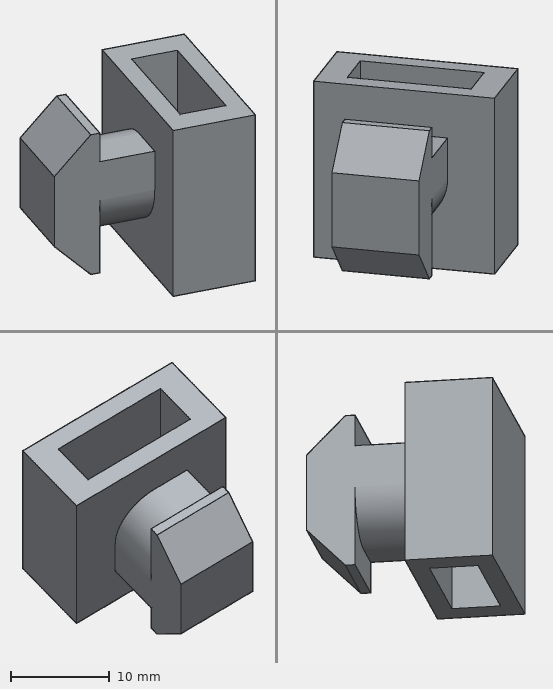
import cadquery as cq

sleeve_size = 19.0
sleeve_depth = 9.0
window_width = 13.0
window_depth = 5.0

latch_width = 9.15
stem_height = 9.45
stem_length = 6.0
stem_corner_radius = 5.0
head_height = 16.0
head_rim = 1.0
head_taper = 4.0

head_back = -stem_length
rim_front = head_back - head_rim
head_front = rim_front - head_taper


def make_sleeve():
    outline = cq.Workplane("XY").rect(sleeve_size, sleeve_depth)
    window = cq.Workplane("XY").rect(window_width, window_depth).extrude(sleeve_size / 2, both=True)
    return outline.extrude(sleeve_size / 2, both=True).cut(window).translate((0, sleeve_depth / 2, 0))


def make_stem():
    """Stem along Y with two diagonally opposite corners rounded for turning."""
    stem = cq.Workplane("XZ").rect(latch_width, stem_height).extrude(stem_length)
    upper_left = stem.edges("|Y").edges("<X").edges(">Z")
    lower_right = stem.edges("|Y").edges(">X").edges("<Z")
    return stem.newObject(upper_left.vals() + lower_right.vals()).fillet(stem_corner_radius)


def make_head():
    """Head profile in YZ, with its top and bottom tapering towards the front."""
    half_height = head_height / 2
    front_half_height = half_height - head_taper
    profile = [
        (head_back, -half_height),
        (head_back, half_height),
        (rim_front, half_height),
        (head_front, front_half_height),
        (head_front, -front_half_height),
        (rim_front, -half_height),
    ]
    return cq.Workplane("YZ").polyline(profile).close().extrude(latch_width / 2, both=True)


result = make_sleeve().union(make_stem()).union(make_head())